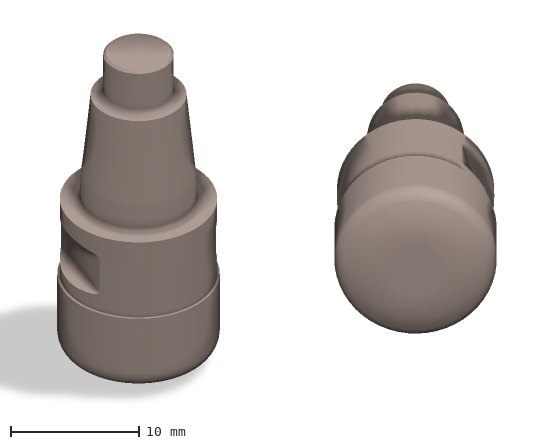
import cadquery as cq
import math

total_height = 28.4
cap_height = 7.0
flange_top = 7.53
shoulder_height = 14.6
taper_base_height = 17.07
taper_top_height = 24.42

outer_radius = 12.7 / 2
barrel_radius = 12.3 / 2
neck_radius = 4.57
taper_base_radius = 4.5
taper_top_radius = 3.75
pin_radius = 5.5 / 2

pin_chamfer = 0.2
pin_root_fillet = 0.5
neck_root_fillet = 0.35

wall_bottom = 2.22
knuckle_radius = 1.5
crown_radius = 6.25

flat_offset = 5.03
flat_height = 2.98
notch_center_height = 10.9
notch_fillet = 0.45
notch_side_angle = math.radians(20)


def arc_point(center, radius, angle):
    """Point on a circle at an angle counted from its first axis."""
    return (center[0] + radius * math.cos(angle), center[1] + radius * math.sin(angle))


def revolve_about_z(profile):
    """Spin a closed radius-height profile around the Z axis."""
    return profile.close().revolve(360, (0, 0, 0), (0, 1, 0))


def make_cap():
    knuckle_center = (outer_radius - knuckle_radius, wall_bottom)
    center_distance = crown_radius - knuckle_radius
    blend_tilt = math.acos((crown_radius - wall_bottom) / center_distance)
    crown_center = (knuckle_center[0] - center_distance * math.sin(blend_tilt), crown_radius)

    straight_down = -math.pi / 2
    blend_angle = straight_down + blend_tilt
    blend_point = arc_point(crown_center, crown_radius, blend_angle)
    crown_middle = arc_point(crown_center, crown_radius, straight_down + blend_tilt / 2)
    knuckle_middle = arc_point(knuckle_center, knuckle_radius, blend_angle / 2)

    profile = (
        cq.Workplane("XZ")
        .lineTo(crown_center[0], 0)
        .threePointArc(crown_middle, blend_point)
        .threePointArc(knuckle_middle, (outer_radius, wall_bottom))
        .lineTo(outer_radius, cap_height)
        .lineTo(0, cap_height)
    )
    return revolve_about_z(profile)


def make_turned_body():
    """Flange, barrel, tapered neck and end pin as one turned shape."""
    neck_bottom = shoulder_height + neck_root_fillet
    pin_bottom = taper_top_height + pin_root_fillet
    quarter_middle = -3 * math.pi / 4
    neck_fillet_middle = arc_point(
        (neck_radius + neck_root_fillet, neck_bottom), neck_root_fillet, quarter_middle
    )
    pin_fillet_middle = arc_point(
        (pin_radius + pin_root_fillet, pin_bottom), pin_root_fillet, quarter_middle
    )
    taper_direction = (taper_top_radius - taper_base_radius, taper_top_height - taper_base_height)

    profile = (
        cq.Workplane("XZ")
        .moveTo(0, cap_height)
        .lineTo(outer_radius, cap_height)
        .lineTo(outer_radius, flange_top)
        .lineTo(barrel_radius, flange_top)
        .lineTo(barrel_radius, shoulder_height)
        .lineTo(neck_radius + neck_root_fillet, shoulder_height)
        .threePointArc(neck_fillet_middle, (neck_radius, neck_bottom))
        .spline(
            [(neck_radius, neck_bottom), (taper_base_radius, taper_base_height)],
            tangents=[(0, 1), taper_direction],
        )
        .lineTo(taper_top_radius, taper_top_height)
        .lineTo(pin_radius + pin_root_fillet, taper_top_height)
        .threePointArc(pin_fillet_middle, (pin_radius, pin_bottom))
        .lineTo(pin_radius, total_height - pin_chamfer)
        .lineTo(pin_radius - pin_chamfer, total_height)
        .lineTo(0, total_height)
    )
    return revolve_about_z(profile)


def make_notch_cutter():
    """Notch on the +Y side: a flat, filleted into sloping upper and lower sides."""
    half_flat = flat_height / 2
    fillet_y = flat_offset + notch_fillet
    upper_center = (fillet_y, notch_center_height + half_flat)
    lower_center = (fillet_y, notch_center_height - half_flat)
    fillet_end_angle = math.pi / 2 + notch_side_angle
    fillet_middle_angle = (math.pi + fillet_end_angle) / 2
    upper_end = arc_point(upper_center, notch_fillet, fillet_end_angle)
    lower_end = arc_point(lower_center, notch_fillet, -fillet_end_angle)
    mouth_rise = (outer_radius - upper_end[0]) * math.tan(notch_side_angle)

    return (
        cq.Workplane("YZ")
        .moveTo(flat_offset, lower_center[1])
        .lineTo(flat_offset, upper_center[1])
        .threePointArc(arc_point(upper_center, notch_fillet, fillet_middle_angle), upper_end)
        .lineTo(outer_radius, upper_end[1] + mouth_rise)
        .lineTo(outer_radius, lower_end[1] - mouth_rise)
        .lineTo(*lower_end)
        .threePointArc(
            arc_point(lower_center, notch_fillet, -fillet_middle_angle),
            (flat_offset, lower_center[1]),
        )
        .close()
        .extrude(outer_radius, both=True)
    )


def make_body():
    body = make_turned_body()
    notch_cutter = make_notch_cutter()
    for side_angle in (0, 180):
        body = body.cut(notch_cutter.rotate((0, 0, 0), (0, 0, 1), side_angle))
    return body


cap = make_cap()
body = make_body()
result = cq.Compound.makeCompound([cap.val(), *body.solids().vals()])